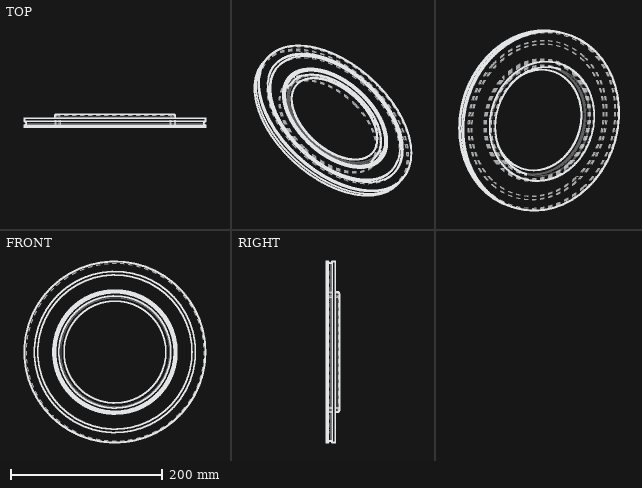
import cadquery as cq

plate_radius = 120.0
plate_thickness = 11.8
overall_depth = 17.3

rim_groove_radius = 2.5
rim_groove_front = 2.5
rim_groove_floor = 0.2

face_groove_inner = 102.0
face_groove_outer = 106.5
face_groove_depth = 3.0

surround_wall_radius = 80.0
sheet = 1.5
roll_inner_radius = 2.2
counterbore_radius = 82.0
flange_radius = 80.6
flange_thickness = 1.5
lip_step = 0.7

disc_radius = 67.5
disc_recess = 1.5
shoulder_radius = 2.2

rim_floor_radius = plate_radius - rim_groove_radius
rim_floor_front = rim_groove_front + rim_groove_radius
rim_floor_back = rim_floor_front + rim_groove_floor
rim_groove_back = rim_floor_back + rim_groove_radius
roll_outer_radius = roll_inner_radius + sheet
roll_center_radius = surround_wall_radius - roll_outer_radius
roll_center_y = overall_depth - roll_outer_radius
channel_outer = roll_center_radius + roll_inner_radius
channel_inner = roll_center_radius - roll_inner_radius
inner_wall_back = roll_center_radius - roll_outer_radius
disc_back = disc_recess + sheet
shoulder_back_radius = shoulder_radius - sheet


def revolve_about_y(profile):
    """Turn a closed (radius, y) profile in the XY plane about the Y axis."""
    return profile.close().revolve(360, (0, 0, 0), (0, 1, 0))


def make_plate():
    """Ring plate with a rounded rim groove, a face groove and a stepped bore."""
    profile = (
        cq.Workplane("XY")
        .moveTo(counterbore_radius, 0)
        .lineTo(face_groove_inner, 0)
        .lineTo(face_groove_inner, face_groove_depth)
        .lineTo(face_groove_outer, face_groove_depth)
        .lineTo(face_groove_outer, 0)
        .lineTo(plate_radius, 0)
        .lineTo(plate_radius, rim_groove_front)
        .radiusArc((rim_floor_radius, rim_floor_front), rim_groove_radius)
        .lineTo(rim_floor_radius, rim_floor_back)
        .radiusArc((plate_radius, rim_groove_back), rim_groove_radius)
        .lineTo(plate_radius, plate_thickness)
        .lineTo(surround_wall_radius, plate_thickness)
        .lineTo(surround_wall_radius, flange_thickness)
        .lineTo(counterbore_radius, flange_thickness)
    )
    return revolve_about_y(profile)


def make_surround():
    """Rolled sheet ring: front flange, U-shaped channel and inner flat around the disc."""
    profile = (
        cq.Workplane("XY")
        .moveTo(disc_radius, disc_recess)
        .lineTo(channel_inner - shoulder_radius, disc_recess)
        .radiusArc((channel_inner, disc_recess + shoulder_radius), -shoulder_radius)
        .lineTo(channel_inner, roll_center_y)
        .threePointArc(
            (roll_center_radius, roll_center_y + roll_inner_radius),
            (channel_outer, roll_center_y),
        )
        .lineTo(channel_outer, lip_step)
        .lineTo(channel_outer + lip_step, lip_step)
        .lineTo(channel_outer + lip_step, 0)
        .lineTo(flange_radius, 0)
        .lineTo(flange_radius, flange_thickness)
        .lineTo(surround_wall_radius, flange_thickness)
        .lineTo(surround_wall_radius, roll_center_y)
        .threePointArc(
            (roll_center_radius, overall_depth),
            (inner_wall_back, roll_center_y),
        )
        .lineTo(inner_wall_back, disc_back + shoulder_back_radius)
        .radiusArc((inner_wall_back - shoulder_back_radius, disc_back), shoulder_back_radius)
        .lineTo(disc_radius, disc_back)
    )
    return revolve_about_y(profile)


def make_disc():
    """Flat center disc, flush with the inner flat of the surround."""
    return (
        cq.Workplane("XZ", origin=(0, disc_recess, 0))
        .circle(disc_radius)
        .extrude(-sheet)
    )


plate = make_plate()
surround = make_surround()
disc = make_disc()

result = cq.Compound.makeCompound([plate.val(), surround.val(), disc.val()])